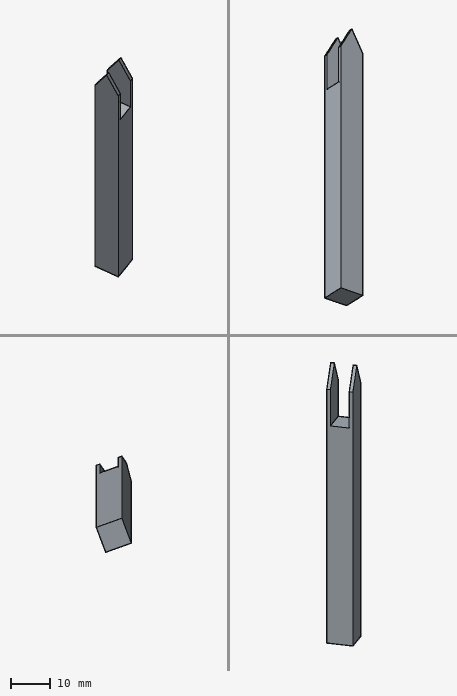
import cadquery as cq
import math

side = 7.0
shoulder_height = 70.0
tip_slope = 60.0
slot_width = 5.0
slot_floor = 60.0

half_side = side / 2
tip_height = shoulder_height + half_side * math.tan(math.radians(tip_slope))


def pointed_post():
    """Square post with a gable-shaped point whose ridge runs along Y."""
    return (
        cq.Workplane("XZ")
        .moveTo(-half_side, 0)
        .lineTo(half_side, 0)
        .lineTo(half_side, shoulder_height)
        .lineTo(0, tip_height)
        .lineTo(-half_side, shoulder_height)
        .close()
        .extrude(half_side, both=True)
    )


def prong_slot():
    """Slot through the full X width, open at the top, leaving two prongs."""
    slot_depth = tip_height - slot_floor
    return (
        cq.Workplane("XY")
        .workplane(offset=slot_floor)
        .rect(side, slot_width)
        .extrude(slot_depth)
    )


result = pointed_post().cut(prong_slot())